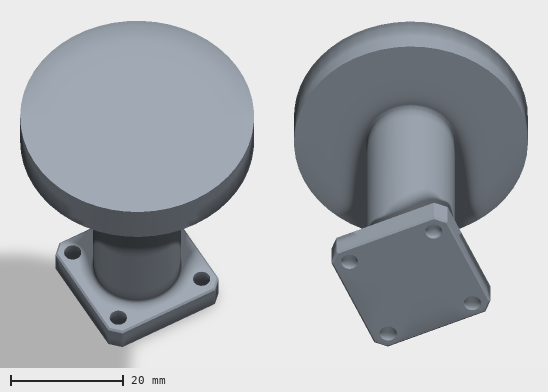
import cadquery as cq

total_height = 50.8

head_diameter = 41.5
head_thickness = 7.65

column_diameter = 15.6
column_fillet = 0.43

plate_width = 22.55
plate_thickness = 4.9
corner_chamfer = 1.85
rim_chamfer = 0.33

hole_diameter = 3.05
hole_spacing_x = 16.3
hole_spacing_y = 17.0


def make_plate():
    """Square plate with cut corners and bevelled top and bottom rims."""
    plate = cq.Workplane("XY").rect(plate_width, plate_width).extrude(plate_thickness)
    plate = plate.edges("|Z").chamfer(corner_chamfer)
    return plate.faces("<Z or >Z").chamfer(rim_chamfer)


def make_column_and_head():
    """Column flaring into the plate below and the round head above, as one revolved body."""
    radius = column_diameter / 2
    flare_radius = radius + column_fillet
    head_radius = head_diameter / 2
    head_bottom = total_height - head_thickness
    profile = (
        cq.Workplane("XZ")
        .moveTo(0, plate_thickness)
        .lineTo(flare_radius, plate_thickness)
        .radiusArc((radius, plate_thickness + column_fillet), column_fillet)
        .lineTo(radius, head_bottom - column_fillet)
        .radiusArc((flare_radius, head_bottom), column_fillet)
        .lineTo(head_radius, head_bottom)
        .lineTo(head_radius, total_height)
        .lineTo(0, total_height)
        .close()
    )
    return profile.revolve(360, (0, 0, 0), (0, 1, 0))


def make_mounting_holes():
    """Four through holes near the plate corners."""
    return (
        cq.Workplane("XY")
        .rect(hole_spacing_x, hole_spacing_y, forConstruction=True)
        .vertices()
        .circle(hole_diameter / 2)
        .extrude(plate_thickness)
    )


result = make_plate().cut(make_mounting_holes()).union(make_column_and_head())